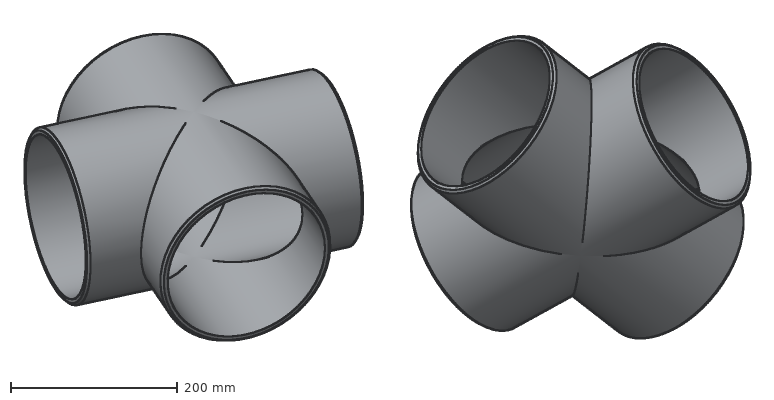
import cadquery as cq

run_length = 355.5
outer_diameter = 219.0
bore_diameter = 202.7
chamfer_depth = 3.2
chamfer_height = 3.2


def pipe_body(plane):
    """Solid pipe run through the origin with both outer rims bevelled."""
    outer_radius = outer_diameter / 2
    end = run_length / 2
    rim_radius = outer_radius - chamfer_height
    shoulder = end - chamfer_depth
    profile = [
        (0, -end),
        (rim_radius, -end),
        (outer_radius, -shoulder),
        (outer_radius, shoulder),
        (rim_radius, end),
        (0, end),
    ]
    return cq.Workplane(plane).polyline(profile).close().revolve(360, (0, 0), (0, 1))


def pipe_bore(plane):
    """Through bore along the normal of the plane."""
    return cq.Workplane(plane).circle(bore_diameter / 2).extrude(run_length / 2, both=True)


x_run = pipe_body("ZX")
y_run = pipe_body("XY")

result = x_run.union(y_run).cut(pipe_bore("YZ")).cut(pipe_bore("XZ"))